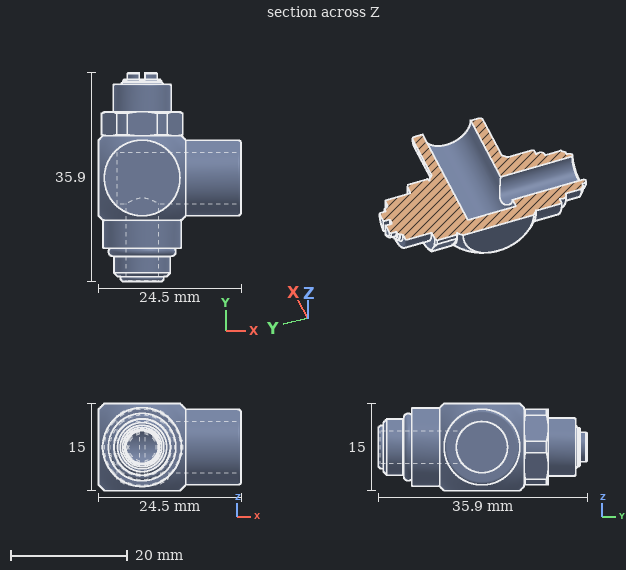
import cadquery as cq
import math

body_width = 15.0
body_length = 14.5
face_circle_radius = 6.5
sphere_radius = math.hypot(body_width / 2, face_circle_radius)

port_radius = face_circle_radius
port_end = 17.0
port_rim_fillet = 0.55
bore_radius = 4.4

collar_radius = 6.75
collar_end = 12.07
collar_fillet = 0.22
ring_radius = 5.8
ring_section_radius = 0.8
ring_centre = 12.65
groove_radius = 4.8
groove_end = 13.55
neck_radius = 4.86
neck_end = 16.95
neck_chamfer = 0.65
tip_radius = 3.75
tip_end = 17.8
tip_straight = 0.25
tip_arc_radius = 0.45
tip_chamfer_end_radius = 3.37
hole_radius = 2.8
hole_chamfer = 0.24

hex_across_flats = 13.0
hex_corner_radius = 7.0
hex_end = 11.35
hex_chamfer_radial = 0.45
hex_outer_chamfer_axial = 0.28
hex_inner_chamfer_axial = 0.18
cap_radius = 5.0
cap_end = 16.1
cap_fillet = 0.3

boss_base_radius = 3.7
boss_radius = 3.35
boss_base_chamfer = boss_base_radius - boss_radius
boss_top_chamfer = 0.28
boss_end = 16.9
screw_radius = 2.6
screw_end = 18.1
screw_chamfer = 0.25
slot_width = 0.95


def turned(sketch):
    """Revolve a closed profile (radius on X, position on Y) about the Y axis."""
    return sketch.close().revolve(360, (0, 0, 0), (0, 1, 0))


def cylinder_along_y(radius, start, end):
    """Cylinder on the Y axis between two Y positions."""
    return turned(
        cq.Workplane("XY").moveTo(0, start).lineTo(radius, start).lineTo(radius, end).lineTo(0, end)
    )


def make_body():
    block = cq.Workplane("XY").box(body_width, body_length, body_width)
    return block.intersect(cq.Workplane("XY").sphere(sphere_radius))


def make_side_port():
    port = cq.Workplane("YZ").circle(port_radius).extrude(port_end)
    return port.faces(">X").edges().fillet(port_rim_fillet)


def make_collar():
    collar = cylinder_along_y(collar_radius, -collar_end, -body_length / 2)
    collar = collar.faces("<Y or >Y").edges().fillet(collar_fillet)
    core = cylinder_along_y(groove_radius, -groove_end, 0)
    return collar.union(core)


def make_sealing_ring():
    """O-ring seated against the collar in the groove."""
    centreline_radius = ring_radius - ring_section_radius
    section = cq.Workplane("XY").center(centreline_radius, -ring_centre).circle(ring_section_radius)
    return section.revolve(360, (-centreline_radius, 0, 0), (-centreline_radius, 1, 0))


def make_neck_and_tip():
    arc_start = -(neck_end + tip_straight)
    arc_angle = math.radians(45)

    def arc_point(angle):
        return (
            tip_radius - tip_arc_radius * (1 - math.cos(angle)),
            arc_start - tip_arc_radius * math.sin(angle),
        )

    return turned(
        cq.Workplane("XY")
        .moveTo(0, -groove_end)
        .lineTo(neck_radius, -groove_end)
        .lineTo(neck_radius, -neck_end + neck_chamfer)
        .lineTo(neck_radius - neck_chamfer, -neck_end)
        .lineTo(tip_radius, -neck_end)
        .lineTo(tip_radius, arc_start)
        .threePointArc(arc_point(arc_angle / 2), arc_point(arc_angle))
        .lineTo(tip_chamfer_end_radius, -tip_end)
        .lineTo(0, -tip_end)
    )


def make_hexagon():
    start = body_length / 2
    flats_to_z_angle = 30
    hexagon = (
        cq.Workplane("XZ", origin=(0, start, 0))
        .polygon(6, hex_across_flats, circumscribed=True)
        .extrude(start - hex_end)
        .rotate((0, 0, 0), (0, 1, 0), flats_to_z_angle)
    )
    rounding = cylinder_along_y(hex_corner_radius, start, hex_end)
    rounding = rounding.faces(">Y").edges().chamfer(hex_outer_chamfer_axial, hex_chamfer_radial)
    rounding = rounding.faces("<Y").edges().chamfer(hex_inner_chamfer_axial, hex_chamfer_radial)
    return hexagon.intersect(rounding)


def make_cap():
    return cylinder_along_y(cap_radius, 0, cap_end).faces(">Y").edges().fillet(cap_fillet)


def make_boss():
    return turned(
        cq.Workplane("XY")
        .moveTo(0, cap_end)
        .lineTo(boss_base_radius, cap_end)
        .lineTo(boss_radius, cap_end + boss_base_chamfer)
        .lineTo(boss_radius, boss_end - boss_top_chamfer)
        .lineTo(boss_radius - boss_top_chamfer, boss_end)
        .lineTo(0, boss_end)
    )


def make_screw():
    screw = cylinder_along_y(screw_radius, boss_end, screw_end)
    screw = screw.faces(">Y").edges().chamfer(screw_chamfer)
    slot_middle = (boss_end + screw_end) / 2
    slot_depth = screw_end - boss_end
    slot = cq.Workplane("XY").center(0, slot_middle).box(slot_width, slot_depth, 2 * screw_radius)
    return screw.cut(slot)


def make_bores():
    """Side bore along X, and the spigot hole opening into it."""
    bore_length = port_end + bore_radius
    side_bore = cq.Workplane("YZ", origin=(-bore_radius, 0, 0)).circle(bore_radius).extrude(bore_length)
    mouth_radius = hole_radius + hole_chamfer
    spigot_hole = turned(
        cq.Workplane("XY")
        .moveTo(0, -tip_end)
        .lineTo(mouth_radius, -tip_end)
        .lineTo(hole_radius, -tip_end + hole_chamfer)
        .lineTo(hole_radius, 0)
        .lineTo(0, 0)
    )
    return side_bore.union(spigot_hole)


result = (
    make_body()
    .union(make_side_port())
    .union(make_collar())
    .union(make_sealing_ring())
    .union(make_neck_and_tip())
    .union(make_hexagon())
    .union(make_cap())
    .union(make_boss())
    .union(make_screw())
    .cut(make_bores())
)